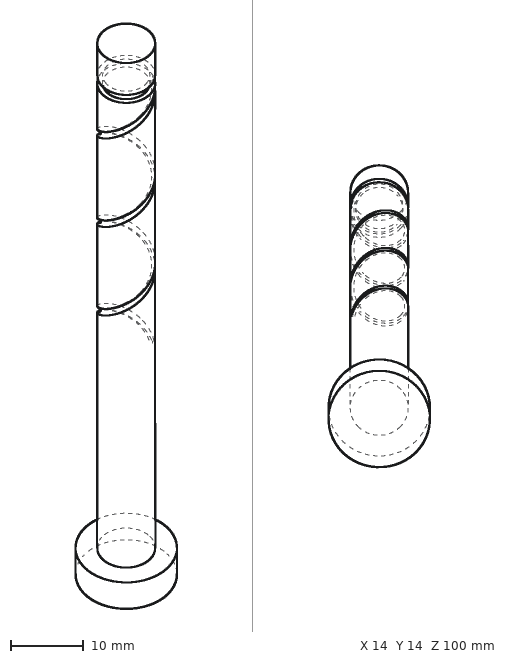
import cadquery as cq
import math

total_length = 100.0
head_diameter = 14.0
head_height = 5.0
shaft_diameter = 8.0
shaft_radius = shaft_diameter / 2

tip_length = 6.0
ring_groove_width = 1.5
ring_groove_diameter = 6.5
ring_groove_bottom = total_length - tip_length - ring_groove_width

spiral_turns = 3
spiral_height = 50.0
spiral_pitch = spiral_height / spiral_turns
spiral_bottom = ring_groove_bottom - spiral_height
spiral_start_angle = 90.0
spiral_groove_radius = 0.5


def make_pin_blank():
    """Head and shaft as two stacked cylinders."""
    head = cq.Workplane("XY").circle(head_diameter / 2).extrude(head_height)
    return head.faces(">Z").workplane().circle(shaft_radius).extrude(total_length - head_height)


def make_ring_groove():
    """Ring of material removed around the shaft just below its tip."""
    return (
        cq.Workplane("XY", origin=(0, 0, ring_groove_bottom))
        .circle(head_diameter / 2)
        .circle(ring_groove_diameter / 2)
        .extrude(ring_groove_width)
    )


def make_spiral_groove():
    """Round bar wound around the shaft surface, centred on it and square to its path."""
    path = cq.Wire.makeHelix(spiral_pitch, spiral_height, shaft_radius)
    section_plane = cq.Plane(
        origin=(shaft_radius, 0, 0),
        xDir=(1, 0, 0),
        normal=(0, 2 * math.pi * shaft_radius, spiral_pitch),
    )
    bar = (
        cq.Workplane(section_plane)
        .circle(spiral_groove_radius)
        .sweep(cq.Workplane(path), isFrenet=True)
    )
    turned = bar.rotate((0, 0, 0), (0, 0, 1), spiral_start_angle)
    return turned.translate((0, 0, spiral_bottom))


result = make_pin_blank().cut(make_spiral_groove()).cut(make_ring_groove())